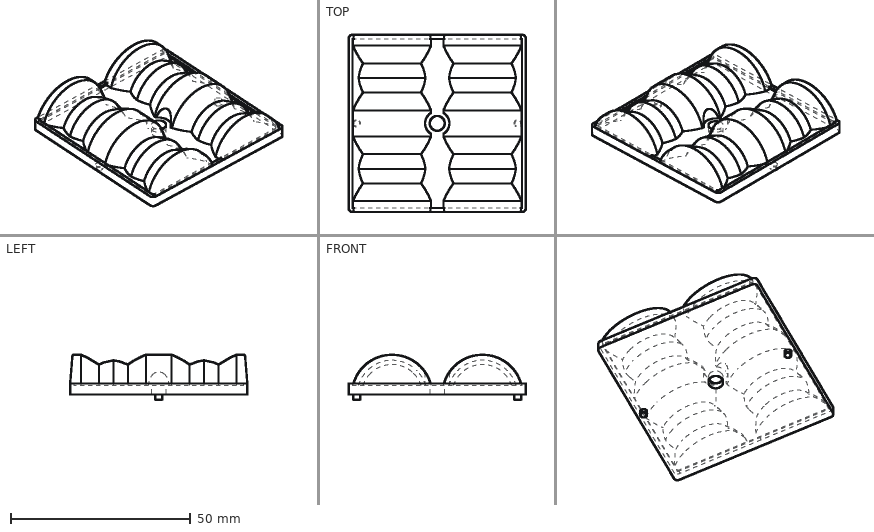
import cadquery as cq

TRAY_SIDE = 49.5
TRAY_HEIGHT = 3.15
TRAY_CORNER_RADIUS = 1.1
RIM_WIDTH = 1.15
POCKET_DEPTH = 0.55
HOLE_DIAMETER = 4.1
POCKET_SIDE = TRAY_SIDE - 2 * RIM_WIDTH
FLOOR_Z = TRAY_HEIGHT - POCKET_DEPTH

ROLL_X = 12.6
ROLL_RISE = 8.0
ROLL_RADIUS = 11.25
NECK_RADIUS = 8.5
BEAD_RADIUS = 9.7
ROLL_CROWN_Z = TRAY_HEIGHT + ROLL_RISE
ROLL_AXIS_Z = ROLL_CROWN_Z - ROLL_RADIUS

BARREL_HALF_LENGTH = 3.6
BEAD_Y = 12.65
BEAD_HALF_LENGTH = 4.05
INNER_NECK_Y = BEAD_Y - BEAD_HALF_LENGTH
OUTER_NECK_Y = BEAD_Y + BEAD_HALF_LENGTH
CAP_START_Y = 2 * BEAD_Y - BARREL_HALF_LENGTH
ARC_BULGE = 0.2

END_LEAN = 0.65
END_FILLET = 0.5
NOTCH_DIAMETER = 6.8

PIN_X = 22.45
PIN_DIAMETER = 2.05
PIN_LENGTH = 1.5
PIN_CHAMFER = 0.2


def make_tray():
    tray = (
        cq.Workplane("XY")
        .rect(TRAY_SIDE, TRAY_SIDE)
        .extrude(TRAY_HEIGHT)
        .edges("|Z")
        .fillet(TRAY_CORNER_RADIUS)
    )
    pocket = (
        cq.Workplane("XY")
        .workplane(offset=FLOOR_Z)
        .rect(POCKET_SIDE, POCKET_SIDE)
        .extrude(POCKET_DEPTH)
    )
    hole = cq.Workplane("XY").circle(HOLE_DIAMETER / 2).extrude(TRAY_HEIGHT)
    return tray.cut(pocket).cut(hole)


def make_turned_half():
    """Full-round contour from the middle of a roll to its +Y end, on the Y axis."""
    shoulder_mid_radius = (ROLL_RADIUS + NECK_RADIUS) / 2 + ARC_BULGE
    inner_shoulder_mid = (shoulder_mid_radius, (BARREL_HALF_LENGTH + INNER_NECK_Y) / 2)
    outer_shoulder_mid = (shoulder_mid_radius, (OUTER_NECK_Y + CAP_START_Y) / 2)
    bead_mid_radius = (BEAD_RADIUS + NECK_RADIUS) / 2 + ARC_BULGE
    inner_bead_mid = (bead_mid_radius, (INNER_NECK_Y + BEAD_Y) / 2)
    outer_bead_mid = (bead_mid_radius, (BEAD_Y + OUTER_NECK_Y) / 2)
    return (
        cq.Workplane("XY")
        .lineTo(ROLL_RADIUS, 0)
        .lineTo(ROLL_RADIUS, BARREL_HALF_LENGTH)
        .threePointArc(inner_shoulder_mid, (NECK_RADIUS, INNER_NECK_Y))
        .threePointArc(inner_bead_mid, (BEAD_RADIUS, BEAD_Y))
        .threePointArc(outer_bead_mid, (NECK_RADIUS, OUTER_NECK_Y))
        .threePointArc(outer_shoulder_mid, (ROLL_RADIUS, CAP_START_Y))
        .lineTo(ROLL_RADIUS, TRAY_SIDE / 2)
        .lineTo(0, TRAY_SIDE / 2)
        .close()
        .revolve(360, (0, 0, 0), (0, 1, 0))
        .translate((0, 0, ROLL_AXIS_Z))
    )


def make_roll_envelope():
    """Bar with leaning ends over the rim and a straight foot that fits the pocket."""
    rim_half = TRAY_SIDE / 2
    crown_half = rim_half - END_LEAN
    above_rim = (
        cq.Workplane("YZ")
        .moveTo(-rim_half, TRAY_HEIGHT)
        .lineTo(rim_half, TRAY_HEIGHT)
        .lineTo(crown_half, ROLL_CROWN_Z)
        .lineTo(-crown_half, ROLL_CROWN_Z)
        .close()
        .extrude(ROLL_RADIUS, both=True)
    )
    foot = (
        cq.Workplane("XY")
        .workplane(offset=FLOOR_Z)
        .rect(2 * ROLL_RADIUS, POCKET_SIDE)
        .extrude(POCKET_DEPTH)
    )
    return above_rim, foot


def make_roll(side):
    half = make_turned_half()
    turned = half.union(half.mirror("XZ"))
    above_rim, foot = make_roll_envelope()
    upper = turned.intersect(above_rim)
    upper = upper.faces("<Y or >Y").edges("not |X").fillet(END_FILLET)
    roll = upper.union(turned.intersect(foot)).translate((side * ROLL_X, 0, 0))
    notch = cq.Workplane("XY").circle(NOTCH_DIAMETER / 2).extrude(ROLL_CROWN_Z)
    return roll.cut(notch)


def make_pin(side):
    return (
        cq.Workplane("XY")
        .center(side * PIN_X, 0)
        .circle(PIN_DIAMETER / 2)
        .extrude(-PIN_LENGTH)
        .faces("<Z")
        .chamfer(PIN_CHAMFER)
    )


SIDES = (-1, 1)
tray = make_tray()
rolls = [make_roll(side).val() for side in SIDES]
pins = [make_pin(side).val() for side in SIDES]

result = cq.Compound.makeCompound([tray.val(), *rolls, *pins])